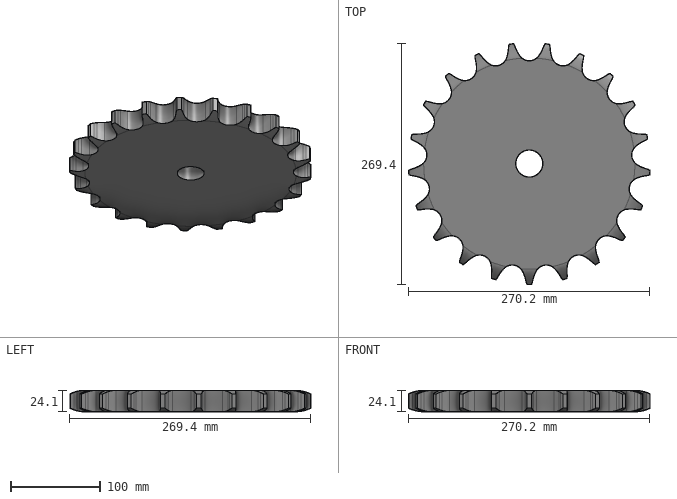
import cadquery as cq
import math


tooth_count = 21
chain_pitch = 38.1
roller_diameter = 25.4
outer_diameter = 270.6
thickness = 24.1
bore_diameter = 30.0
side_relief_depth = 17.2
side_relief_radius = chain_pitch
tool_margin = 5.0

tooth_step = 360.0 / tooth_count
pitch_radius = chain_pitch / (2 * math.sin(math.pi / tooth_count))
form_clearance = 0.0381
seat_radius = 0.5025 * roller_diameter + form_clearance
seat_half_angle = 90.0 - (35.0 + 60.0 / tooth_count)
working_radius = 1.3025 * roller_diameter + form_clearance
working_sweep = 18.0 - 56.0 / tooth_count
seat_offset = 0.8 * roller_diameter
topping_offset = 1.4 * roller_diameter
topping_angle = math.radians(17.0 - 64.0 / tooth_count)
working_angle = math.radians(working_sweep)
straight_length = topping_offset * math.sin(topping_angle) - seat_offset * math.sin(working_angle)
topping_radius = (
    seat_offset * math.cos(working_angle)
    + topping_offset * math.cos(topping_angle)
    - working_radius
)

outer_radius = outer_diameter / 2
half_thickness = thickness / 2
flat_face_radius = outer_radius - side_relief_depth


def relief_point(radius_fraction):
    """Point (r, z) on the upper side relief; 0 is the flat face, 1 is the tooth tip."""
    run = side_relief_depth * radius_fraction
    drop = side_relief_radius - math.sqrt(side_relief_radius**2 - run**2)
    return flat_face_radius + run, half_thickness - drop


def mirrored_z(point):
    return point[0], -point[1]


def make_blank():
    """Disc whose two faces curve in tangentially towards the outer diameter."""
    middle = relief_point(0.5)
    tip = relief_point(1.0)
    return (
        cq.Workplane("XZ")
        .moveTo(0, -half_thickness)
        .lineTo(flat_face_radius, -half_thickness)
        .threePointArc(mirrored_z(middle), mirrored_z(tip))
        .lineTo(*tip)
        .threePointArc(middle, (flat_face_radius, half_thickness))
        .lineTo(0, half_thickness)
        .close()
        .revolve(360, (0, 0, 0), (0, 1, 0))
    )


def point_below(center, radius, angle):
    """Point on an arc; the angle in degrees turns from -Y towards +X."""
    turn = math.radians(angle)
    return center[0] + radius * math.sin(turn), center[1] - radius * math.cos(turn)


def mirrored_x(point):
    return -point[0], point[1]


def make_tooth_gap():
    """Cutter for the gap on +Y: roller seat, hollow working curves, short straights, convex tips."""
    seat_center = (0, pitch_radius)
    seat_bottom = point_below(seat_center, seat_radius, 0)
    seat_end = point_below(seat_center, seat_radius, seat_half_angle)

    working_center = point_below(seat_center, seat_radius - working_radius, seat_half_angle)
    flank_angle = seat_half_angle + working_sweep
    working_middle = point_below(working_center, working_radius, seat_half_angle + working_sweep / 2)
    working_end = point_below(working_center, working_radius, flank_angle)

    straight_end = point_below(working_end, straight_length, flank_angle + 90)

    topping_center = point_below(straight_end, topping_radius, flank_angle)
    topping_sweep = math.degrees((outer_radius + tool_margin - straight_end[1]) / topping_radius)
    topping_middle = point_below(topping_center, -topping_radius, flank_angle - topping_sweep / 2)
    topping_end = point_below(topping_center, -topping_radius, flank_angle - topping_sweep)

    return (
        cq.Workplane("XY", origin=(0, 0, -half_thickness))
        .moveTo(*mirrored_x(seat_end))
        .threePointArc(seat_bottom, seat_end)
        .threePointArc(working_middle, working_end)
        .lineTo(*straight_end)
        .threePointArc(topping_middle, topping_end)
        .lineTo(*mirrored_x(topping_end))
        .threePointArc(mirrored_x(topping_middle), mirrored_x(straight_end))
        .lineTo(*mirrored_x(working_end))
        .threePointArc(mirrored_x(working_middle), mirrored_x(seat_end))
        .close()
        .extrude(thickness)
    )


def cut_teeth(blank):
    gap = make_tooth_gap()
    sprocket = blank
    for index in range(tooth_count):
        placed_gap = gap.rotate((0, 0, 0), (0, 0, 1), index * tooth_step)
        sprocket = sprocket.cut(placed_gap)
    return sprocket


def cut_bore(sprocket):
    bore_base = cq.Workplane("XY", origin=(0, 0, -half_thickness))
    bore = bore_base.circle(bore_diameter / 2).extrude(thickness)
    return sprocket.cut(bore)


result = cut_bore(cut_teeth(make_blank()))